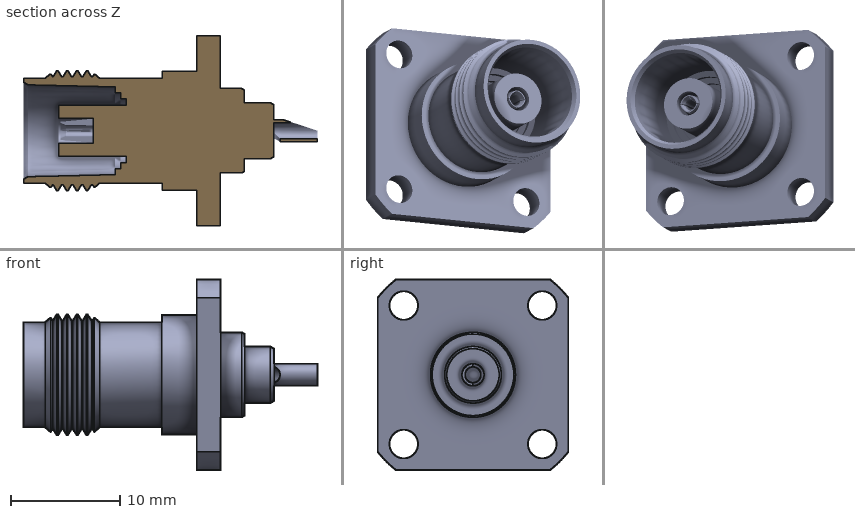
import cadquery as cq
import math


THREAD_START = 2.0
THREAD_END = 7.0
COLLAR_START = 12.7
FLANGE_FRONT = 15.9
FLANGE_BACK = 18.1
REAR_BOSS_END = 20.3
INSULATOR_END = 23.0
TAIL_END = 27.0

BODY_DIA = 9.67
COLLAR_DIA = 11.0
REAR_BOSS_DIA = 7.8
INSULATOR_DIA = 5.2
TAIL_DIA = 2.03

CHAMFER_ANGLE = 30
REAR_BOSS_CHAMFER = 0.27
INSULATOR_CHAMFER = 0.35

THREAD_DIA = 11.08
THREAD_ROOT_DIA = 9.94
THREAD_PARTIAL_DIA = 10.5
THREAD_PITCH = 0.907
THREAD_COUNT = 4
FIRST_CREST = 3.13
CREST_WIDTH = 0.12
ROOT_WIDTH = 0.09
LEAD_IN_PEAK = 2.5
RUN_OUT_PEAK = 6.52

FLANGE_SIDE = 17.5
FLANGE_CORNER_DIA = 22.5
MOUNT_HOLE_DIA = 2.6
MOUNT_HOLE_SPACING = 12.7

MOUTH_DIA = 8.88
MOUTH_CHAMFER_DEPTH = 0.44
TAPER_FRONT_DIA = 8.38
TAPER_BACK_DIA = 8.0
CAVITY_DEPTH = 8.4
STEP_DIAS = (6.9, 5.8)
STEP_DEPTH = 0.5

NOSE_DIA = 4.72
NOSE_FRONT = 3.23
SOCKET_DIA = 2.23
SOCKET_TIP = 3.4
FINGER_LENGTH = 3.0
FINGER_COUNT = 4
FINGER_INWARD_SHIFT = 0.36
FINGER_TIP_WALL = 0.08
SLOT_BASE_WIDTH = 0.26
SLOT_TIP_WIDTH = 0.04
SOCKET_BORE_DIA = 1.04
SOCKET_LEAD_DEPTH = 0.5

CUP_BORE_DIA = 1.45
CUP_SLOPE_START = 23.9
VENT_DIA = 1.45
VENT_X = 22.82


def revolve_profile(points):
    """Turn (x, radius) points into a solid of revolution about the X axis."""
    outline = cq.Workplane("XY").polyline(points).close()
    return outline.revolve(360, (0, 0, 0), (1, 0, 0))


def rod(start, end, diameter):
    return cq.Workplane("YZ").workplane(offset=start).circle(diameter / 2).extrude(end - start)


def chamfered_rod(start, end, diameter, chamfer):
    radius = diameter / 2
    end_radius = radius - chamfer * math.tan(math.radians(CHAMFER_ANGLE))
    return revolve_profile([
        (start, 0),
        (start, radius),
        (end - chamfer, radius),
        (end, end_radius),
        (end, 0),
    ])


def thread_rings():
    root = THREAD_ROOT_DIA / 2
    crest = THREAD_DIA / 2
    partial = THREAD_PARTIAL_DIA / 2
    body = BODY_DIA / 2
    points = [(THREAD_START, 0), (THREAD_START, body), (LEAD_IN_PEAK, partial)]
    for index in range(THREAD_COUNT):
        center = FIRST_CREST + index * THREAD_PITCH
        points.append((center - THREAD_PITCH / 2 + ROOT_WIDTH / 2, root))
        points.append((center - CREST_WIDTH / 2, crest))
        points.append((center + CREST_WIDTH / 2, crest))
        points.append((center + THREAD_PITCH / 2 - ROOT_WIDTH / 2, root))
    last_root_end = FIRST_CREST + (THREAD_COUNT - 0.5) * THREAD_PITCH + ROOT_WIDTH / 2
    points += [(last_root_end, root), (RUN_OUT_PEAK, partial), (THREAD_END, body), (THREAD_END, 0)]
    return revolve_profile(points)


def flange():
    half_spacing = MOUNT_HOLE_SPACING / 2
    hole_centers = [(y, z) for y in (-half_spacing, half_spacing) for z in (-half_spacing, half_spacing)]
    thickness = FLANGE_BACK - FLANGE_FRONT
    plate = (
        cq.Workplane("YZ").workplane(offset=FLANGE_FRONT)
        .rect(FLANGE_SIDE, FLANGE_SIDE).extrude(thickness)
    )
    plate = plate.intersect(rod(FLANGE_FRONT, FLANGE_BACK, FLANGE_CORNER_DIA))
    holes = (
        cq.Workplane("YZ").workplane(offset=FLANGE_FRONT)
        .pushPoints(hole_centers).circle(MOUNT_HOLE_DIA / 2).extrude(thickness)
    )
    return plate.cut(holes)


def mating_cavity():
    points = [
        (0, 0),
        (0, MOUTH_DIA / 2),
        (MOUTH_CHAMFER_DEPTH, TAPER_FRONT_DIA / 2),
        (CAVITY_DEPTH, TAPER_BACK_DIA / 2),
    ]
    depth = CAVITY_DEPTH
    for diameter in STEP_DIAS:
        points.append((depth, diameter / 2))
        depth += STEP_DEPTH
        points.append((depth, diameter / 2))
    points.append((depth, 0))
    return revolve_profile(points)


def insulator_nose():
    """Insulator cylinder in the cavity, hollow where the socket fingers sit."""
    cavity_floor = CAVITY_DEPTH + len(STEP_DIAS) * STEP_DEPTH
    nose = rod(NOSE_FRONT, cavity_floor, NOSE_DIA)
    return nose.cut(rod(NOSE_FRONT, SOCKET_TIP + FINGER_LENGTH, SOCKET_DIA))


def ruled_loft(tip_sketch, base_sketch, length):
    """Straight-sided solid between two YZ sketches, from the socket tip toward +X."""
    base_sketch = base_sketch.moved(cq.Location(cq.Vector(0, 0, length)))
    tip_plane = cq.Workplane("YZ").workplane(offset=SOCKET_TIP)
    return tip_plane.placeSketch(tip_sketch, base_sketch).loft(ruled=True)


def offset_circle(radius, shift):
    return cq.Sketch().push([(shift, shift)]).circle(radius)


def corner_square(corner):
    """Square in the +Y +Z quadrant with its inner corner at (corner, corner)."""
    center = corner + SOCKET_DIA / 2
    return cq.Sketch().push([(center, center)]).rect(SOCKET_DIA, SOCKET_DIA)


def socket_finger():
    """One quarter of the slotted socket, leaning inward toward its tip."""
    radius = SOCKET_DIA / 2
    inward = -FINGER_INWARD_SHIFT / math.sqrt(2)
    leaning_rod = ruled_loft(offset_circle(radius, inward), offset_circle(radius, 0), FINGER_LENGTH)
    quarter = ruled_loft(
        corner_square(SLOT_TIP_WIDTH / 2), corner_square(SLOT_BASE_WIDTH / 2), FINGER_LENGTH
    )
    lead_in = ruled_loft(
        offset_circle(radius - FINGER_TIP_WALL, inward),
        offset_circle(SOCKET_BORE_DIA / 2, 0),
        SOCKET_LEAD_DEPTH,
    )
    bore = rod(SOCKET_TIP, SOCKET_TIP + FINGER_LENGTH, SOCKET_BORE_DIA)
    return leaning_rod.intersect(quarter).cut(lead_in).cut(bore)


def solder_cup():
    """Tail pin with a sloped mouth, an axial bore and a round vent on the -Y side."""
    radius = TAIL_DIA / 2
    pin = rod(INSULATOR_END, TAIL_END, TAIL_DIA)
    slope = (
        cq.Workplane("XY").workplane(offset=-radius)
        .polyline([(CUP_SLOPE_START, radius), (TAIL_END, 0), (TAIL_END, radius)]).close()
        .extrude(TAIL_DIA)
    )
    bore = rod(INSULATOR_END, TAIL_END, CUP_BORE_DIA)
    vent = cq.Workplane("XZ").center(VENT_X, 0).circle(VENT_DIA / 2).extrude(radius)
    vent = vent.intersect(rod(INSULATOR_END, TAIL_END, TAIL_DIA))
    return pin.cut(slope).cut(bore).cut(vent)


result = rod(0, FLANGE_FRONT, BODY_DIA)
result = result.union(thread_rings())
result = result.union(rod(COLLAR_START, FLANGE_FRONT, COLLAR_DIA))
result = result.union(flange())
result = result.union(chamfered_rod(FLANGE_BACK, REAR_BOSS_END, REAR_BOSS_DIA, REAR_BOSS_CHAMFER))
result = result.union(chamfered_rod(REAR_BOSS_END, INSULATOR_END, INSULATOR_DIA, INSULATOR_CHAMFER))
result = result.cut(mating_cavity())
result = result.union(insulator_nose())
for index in range(FINGER_COUNT):
    result = result.union(socket_finger().rotate((0, 0, 0), (1, 0, 0), index * 360 / FINGER_COUNT))
result = result.union(solder_cup())